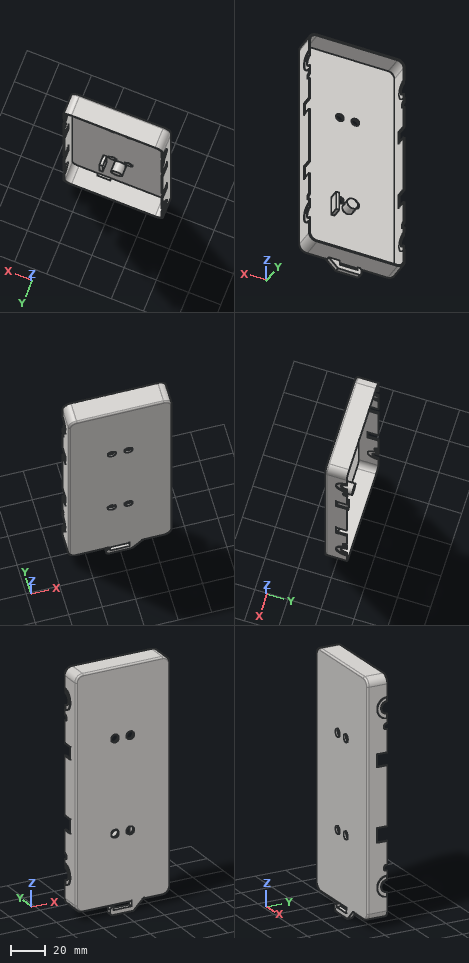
import cadquery as cq

total_length = 156.0
width = 62.0
depth = 13.3
latch_drop = 6.0
body_length = total_length - latch_drop

floor = 1.5
wall = 1.0
corner_radius = 5.0
rim_radius = 1.1

hole_diameter = 5.0
hole_x = 5.0
hole_z = 30.0

port_z = 55.0
port_radius = 3.7
port_recess_radius = 6.5
port_recess_depth = 0.5
notch_z = 43.7
notch_radius = 1.9
notch_center_depth = 0.5
slot_depth = 6.7
upper_slot = (19.5, 27.5)
lower_slot = (-27.1, -18.1)

latch_thickness = 3.0
arm_height = 3.1
latch_left = -8.3
latch_chamfer = 1.1
nub_width = 2.3
nub_top_gap = 1.0
stem_left = 5.8
stem_bottom_right = 7.0

boss_diameter = 7.0
boss_z = -hole_z - hole_x
support_height = 6.2
rib_thickness = 2.0
rib_left = 8.6
rib_length = 12.5


def block(x_range, y_range, z_range):
    """Box given by its limits along each axis."""
    ranges = (x_range, y_range, z_range)
    size = [high - low for low, high in ranges]
    corner = [low for low, high in ranges]
    return cq.Workplane("XY").box(*size, centered=False).translate(tuple(corner))


def across_cylinder(radius, y, z, length):
    """Cylinder along X, centred on X = 0."""
    return cq.Workplane("YZ").center(y, z).circle(radius).extrude(length / 2, both=True)


def floor_cylinder(radius, x, z, y_start, length):
    """Cylinder along Y, starting at y_start."""
    return cq.Workplane("XZ", origin=(x, y_start, z)).circle(radius).extrude(-length)


def tray():
    """Open box with rounded corners and a rounded rim around its closed face."""
    outer = block((-width / 2, width / 2), (0, depth), (-body_length / 2, body_length / 2))
    outer = outer.edges("|Y").fillet(corner_radius).faces("<Y").edges().fillet(rim_radius)
    inner_x = width / 2 - wall
    inner_z = body_length / 2 - wall
    cavity = block((-inner_x, inner_x), (floor, depth), (-inner_z, inner_z))
    return outer.cut(cavity.edges("|Y").fillet(corner_radius - wall))


def port(z):
    """Half-round port with a shallow half-round recess on the outside of both walls."""
    recess_width = width - 2 * port_recess_depth
    recess = across_cylinder(port_recess_radius, depth, z, 2 * width)
    recess = recess.cut(across_cylinder(port_recess_radius, depth, z, recess_width))
    return recess.union(across_cylinder(port_radius, depth, z, 2 * width))


def notch(z):
    """Small U-shaped notch through both walls."""
    center_y = depth - notch_center_depth
    mouth = block((-width, width), (center_y, depth), (z - notch_radius, z + notch_radius))
    return mouth.union(across_cylinder(notch_radius, center_y, z, 2 * width))


def slot(z_range):
    """Rectangular slot through both walls."""
    return block((-width, width), (depth - slot_depth, depth), z_range)


def latch():
    """Hooked arm, hanging from a stem with a 45 degree flank."""
    body_bottom = -body_length / 2
    bottom = body_bottom - latch_drop
    arm_top = bottom + arm_height
    nub_top = body_bottom - nub_top_gap
    root = body_bottom + rim_radius
    nub_right = latch_left + nub_width
    outline = [
        (latch_left + latch_chamfer, bottom),
        (stem_bottom_right, bottom),
        (stem_bottom_right + root - bottom, root),
        (stem_left, root),
        (stem_left, arm_top),
        (nub_right, arm_top),
        (nub_right, nub_top),
        (latch_left + latch_chamfer, nub_top),
        (latch_left, nub_top - latch_chamfer),
        (latch_left, bottom + latch_chamfer),
    ]
    return cq.Workplane("XZ").polyline(outline).close().extrude(-latch_thickness)


def floor_supports():
    """Round boss and straight rib below the lower pair of holes."""
    boss = floor_cylinder(boss_diameter / 2, 0, boss_z, 0, floor + support_height)
    rib_x = (rib_left, rib_left + rib_thickness)
    rib = block(rib_x, (0, floor + support_height), (-hole_z - rib_length, -hole_z))
    return boss.union(rib)


result = tray().union(latch()).union(floor_supports())

for side in (-1, 1):
    result = result.cut(port(side * port_z))
    result = result.cut(notch(side * notch_z))
    for x in (-hole_x, hole_x):
        result = result.cut(floor_cylinder(hole_diameter / 2, x, side * hole_z, 0, floor))

for z_range in (upper_slot, lower_slot):
    result = result.cut(slot(z_range))